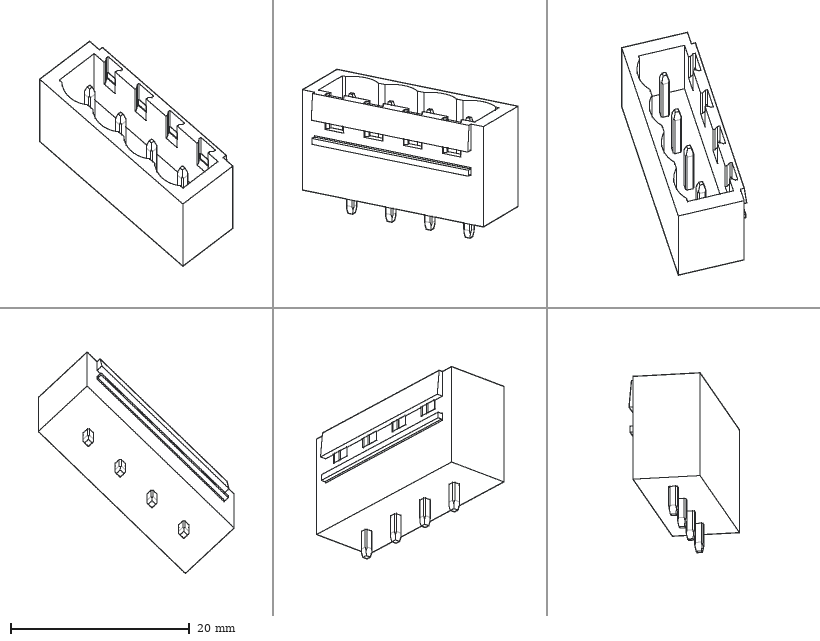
import cadquery as cq

LENGTH = 23.52
DEPTH = 7.67
HEIGHT = 12.0

PIN_COUNT = 4
PITCH = 5.08
PIN_Y = 3.8
PIN_XS = [(i - (PIN_COUNT - 1) / 2) * PITCH for i in range(PIN_COUNT)]

CAVITY_LENGTH = PIN_COUNT * PITCH
FRONT_WALL = 1.53
BACK_WALL = 0.8
FLOOR = 3.2
BACK_WALL_INNER = DEPTH - BACK_WALL

SCALLOP_HALF_WIDTH = 2.12
SCALLOP_DEPTH = 0.78

LATCH_HEIGHT = 3.1
LATCH_TOP_REACH = 0.47
LATCH_BOTTOM_REACH = 0.75

RIB_HEIGHT = 0.7
RIB_REACH = 0.64
RIB_DROP = 5.32
RIB_TOP_Z = HEIGHT - RIB_DROP
RIB_ROOT_CHAMFER = 0.12

SLOT_MOUTH = 1.83
SLOT_WIDTH = 2.38
SLOT_NECK = 0.24
SLOT_FLARE = 0.38
SLOT_DEPTH = 4.19
SLOT_OVERCUT = 0.07

PIN_WIDTH = 0.99
PIN_CHAMFER = 0.16
PIN_TOP_DROP = 0.92
PIN_TOP_Z = HEIGHT - PIN_TOP_DROP
PIN_BELOW = 3.2
TOP_TIP_WIDTH = 0.4
TOP_TAPER = 1.22
BOTTOM_TIP_WIDTH = 0.6
BOTTOM_TAPER = 0.99


def make_block():
    """Plain outer block of the housing."""
    return cq.Workplane("XY").box(LENGTH, DEPTH, HEIGHT, centered=(True, False, False))


def back_profile(points):
    """Extrude a Y-Z outline along X, over the length of the cavity."""
    return cq.Workplane("YZ").polyline(points).close().extrude(CAVITY_LENGTH / 2, both=True)


def make_latch():
    """Ledge along the top of the back face, sloping outward toward its lower edge."""
    bottom = HEIGHT - LATCH_HEIGHT
    return back_profile([
        (DEPTH, HEIGHT),
        (DEPTH + LATCH_TOP_REACH, HEIGHT),
        (DEPTH + LATCH_BOTTOM_REACH, bottom),
        (DEPTH, bottom),
    ])


def make_rib():
    """Straight rib on the back face with a chamfered root."""
    bottom = RIB_TOP_Z - RIB_HEIGHT
    root = DEPTH + RIB_ROOT_CHAMFER
    tip = DEPTH + RIB_REACH
    return back_profile([
        (DEPTH, RIB_TOP_Z + RIB_ROOT_CHAMFER),
        (root, RIB_TOP_Z),
        (tip, RIB_TOP_Z),
        (tip, bottom),
        (root, bottom),
        (DEPTH, bottom - RIB_ROOT_CHAMFER),
    ])


def make_cavity():
    """Rectangular pocket whose front edge bulges forward in an arc at each contact."""
    half = CAVITY_LENGTH / 2
    outline = cq.Workplane("XY").workplane(offset=FLOOR).moveTo(-half, FRONT_WALL)
    for x in PIN_XS:
        outline = outline.lineTo(x - SCALLOP_HALF_WIDTH, FRONT_WALL).threePointArc(
            (x, FRONT_WALL - SCALLOP_DEPTH),
            (x + SCALLOP_HALF_WIDTH, FRONT_WALL),
        )
    outline = outline.lineTo(half, FRONT_WALL).lineTo(half, BACK_WALL_INNER)
    return outline.lineTo(-half, BACK_WALL_INNER).close().extrude(HEIGHT - FLOOR)


def make_slot(x):
    """Dovetail slot at x, narrow at the cavity and wide at the back."""
    neck_y = BACK_WALL_INNER + SLOT_NECK
    flare_y = neck_y + SLOT_FLARE
    back_y = DEPTH + SLOT_OVERCUT
    right_side = [
        (SLOT_MOUTH / 2, BACK_WALL_INNER),
        (SLOT_MOUTH / 2, neck_y),
        (SLOT_WIDTH / 2, flare_y),
        (SLOT_WIDTH / 2, back_y),
    ]
    left_side = [(-px, py) for px, py in reversed(right_side)]
    slot = cq.Workplane("XY").polyline(right_side + left_side).close().extrude(SLOT_DEPTH)
    return slot.translate((x, 0, HEIGHT - SLOT_DEPTH))


def make_pin(x):
    """Square pin with chamfered long edges and a pyramid taper at each end."""
    length = PIN_TOP_Z + PIN_BELOW
    shaft_bottom = -PIN_BELOW + BOTTOM_TAPER
    shaft_top = PIN_TOP_Z - TOP_TAPER
    half = PIN_WIDTH / 2
    profile = [
        (-BOTTOM_TIP_WIDTH / 2, -PIN_BELOW),
        (BOTTOM_TIP_WIDTH / 2, -PIN_BELOW),
        (half, shaft_bottom),
        (half, shaft_top),
        (TOP_TIP_WIDTH / 2, PIN_TOP_Z),
        (-TOP_TIP_WIDTH / 2, PIN_TOP_Z),
        (-half, shaft_top),
        (-half, shaft_bottom),
    ]
    bar = cq.Workplane("XY").workplane(offset=-PIN_BELOW).rect(PIN_WIDTH, PIN_WIDTH).extrude(length)
    bar = bar.edges("|Z").chamfer(PIN_CHAMFER)
    for plane in ("XZ", "YZ"):
        bar = bar.intersect(cq.Workplane(plane).polyline(profile).close().extrude(PIN_WIDTH, both=True))
    return bar.translate((x, PIN_Y, 0))


def make_housing(pins):
    """Housing with its cavity, slots and a matching hole for every pin."""
    housing = make_block().union(make_latch()).union(make_rib()).cut(make_cavity())
    for x in PIN_XS:
        housing = housing.cut(make_slot(x))
    for pin in pins:
        housing = housing.cut(pin)
    return housing


pins = [make_pin(x) for x in PIN_XS]
housing = make_housing(pins)

result = cq.Compound.makeCompound([housing.val(), *[pin.val() for pin in pins]])